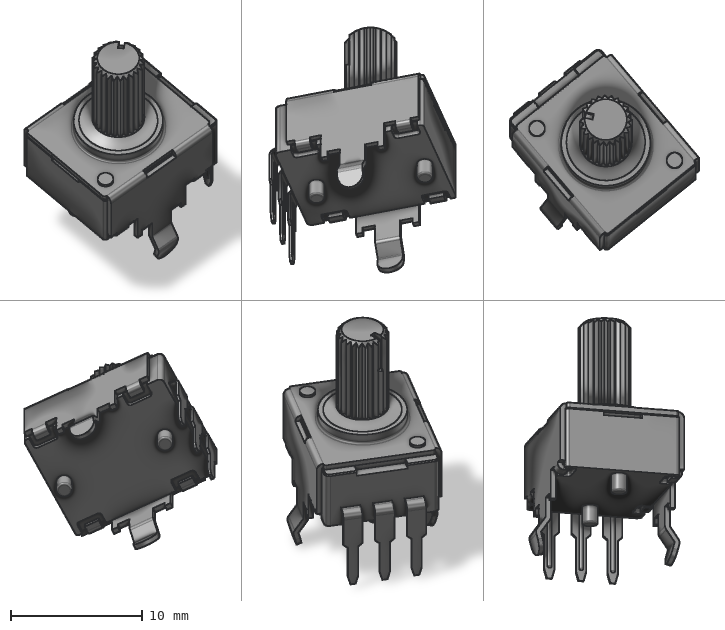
import cadquery as cq
import math


HOUSING_HALF_WIDTH = 4.5
HOUSING_FRONT_Y = -5.5
HOUSING_BACK_Y = 6.3
HOUSING_HEIGHT = 4.7
FRONT_CORNER_RADIUS = 0.25
BACK_CORNER_RADIUS = 0.4
HOUSING_TOP_CHAMFER = 0.1
FRONT_NOTCH_WIDTH = 3.0
BACK_NOTCH_WIDTH = 4.0
NOTCH_HEIGHT = 0.4
FRONT_NOTCH_DEPTH = 0.5
POST_DIAMETER = 1.2
POST_OFFSET_Y = 4.3
RIVET_OFFSET_X = 3.25
RIVET_TOP_CLEARANCE = 0.2
PEG_LENGTH = 1.4
PEG_TIP_RADIUS = 0.15

SHEET = 0.4
BEND_INNER_RADIUS = 0.1
PLATE_HALF_WIDTH = HOUSING_HALF_WIDTH - BEND_INNER_RADIUS
PLATE_HALF_DEPTH = 5.5
PLATE_CORNER_RADIUS = 0.2
COVER_TOP_Z = HOUSING_HEIGHT + SHEET
WALL_HALF_DEPTH = 5.25
WALL_MID_X = HOUSING_HALF_WIDTH + SHEET / 2
WALL_BOTTOM_Z = 0.55
WINDOW_WIDTH = 3.0
WINDOW_INNER_X = PLATE_HALF_WIDTH + BEND_INNER_RADIUS / 2
LEG_HALF_SPAN = 2.5
LEG_WIDTH = 0.5
LEG_TOP_Z = -1.2
LEG_BOTTOM_Z = -1.7
ROOT_OVERLAP = 0.4

HOOK_WIDTH = 2.0
HOOK_BEND_Z = -2.7
HOOK_FLARE_ANGLE = 35.0
HOOK_TIP_ANGLE = 15.0
HOOK_REACH_X = 5.66
HOOK_BOTTOM_Z = -5.5

CRIMP_Y = 4.0
CRIMP_WIDTH = 1.2
CRIMP_INNER_RADIUS = 0.05
CRIMP_FLAT_LENGTH = 0.4
POCKET_WIDTH = 2.05
POCKET_DEPTH = 1.0
POCKET_CORNER_RADIUS = 0.25
POCKET_HEIGHT = SHEET + CRIMP_INNER_RADIUS

BUSHING_DIAMETER = 6.8
BUSHING_BORE = 6.0
BUSHING_TOP_Z = 5.9
BUSHING_ROOT_RADIUS = 0.2
SHAFT_RADIUS = 2.0
SHAFT_TOP_Z = 13.3
SHAFT_CHAMFER = 0.4
CONE_TOP_Z = 6.3
SPLINE_COUNT = 24
MARK_WIDTH = 0.45
MARK_DEPTH = 0.4
MARK_INNER_RADIUS = 1.0
MARK_ANGLE = 127.5
FLAT_RADIUS = 1.62
FLAT_LENGTH = 3.0

TERMINAL_COUNT = 3
TERMINAL_PITCH = 2.5
TERMINAL_SHEET = 0.2
TERMINAL_OUTER_Y = 7.1
TERMINAL_TOP_Z = 1.55
TERMINAL_BEND_INNER_RADIUS = 0.4
TERMINAL_INSERTION = 1.0
SHOULDER_WIDTH = 1.5
SHOULDER_END_Z = -1.4
PIN_WIDTH = 0.8
PIN_START_Z = -1.7
PIN_TAPER_Z = -4.4
PIN_TIP_WIDTH = 0.4
PIN_TIP_Z = -5.1
RIB_RADIUS = 0.25
RIB_HEIGHT = 0.07
RIB_TOP_Z = 0.7
RIB_BOTTOM_Z = -4.1


def block(x_range, y_range, z_range):
    """Box between the given limits."""
    size = [high - low for low, high in (x_range, y_range, z_range)]
    return (
        cq.Workplane()
        .box(*size, centered=False)
        .translate((x_range[0], y_range[0], z_range[0]))
    )


def cylinder(x, y, diameter, z_range):
    """Upright cylinder between two heights."""
    return (
        cq.Workplane()
        .workplane(offset=z_range[0])
        .center(x, y)
        .circle(diameter / 2)
        .extrude(z_range[1] - z_range[0])
    )


def bent_strip(plane, start, heading, moves, thickness, width):
    """Bent sheet strip, centred on the plane.

    The mid-line begins at start and runs at heading degrees. Each move is a length of
    straight sheet or a pair (turn angle, inner bend radius); a positive turn is anticlockwise.
    Returns the strip and the point where its mid-line ends.
    """
    half = thickness / 2

    def beside(point, angle, distance):
        """Point to the left of the mid-line, or to the right for a negative distance."""
        return (
            point[0] - distance * math.sin(math.radians(angle)),
            point[1] + distance * math.cos(math.radians(angle)),
        )

    stations = [(start, heading)]
    halfway = []
    for move in moves:
        point, angle = stations[-1]
        if isinstance(move, tuple):
            turn, inner_radius = move
            radius = math.copysign(inner_radius + half, turn)
            centre = beside(point, angle, radius)
            halfway.append((beside(centre, angle + turn / 2, -radius), angle + turn / 2))
            stations.append((beside(centre, angle + turn, -radius), angle + turn))
        else:
            halfway.append(None)
            stations.append((beside(point, angle - 90, move), angle))

    def draw_side(outline, ends, middles, distance):
        for end, middle in zip(ends, middles):
            if middle is None:
                outline = outline.lineTo(*beside(*end, distance))
            else:
                outline = outline.threePointArc(beside(*middle, distance), beside(*end, distance))
        return outline

    outline = cq.Workplane(plane).moveTo(*beside(*stations[0], half))
    outline = draw_side(outline, stations[1:], halfway, half)
    outline = outline.lineTo(*beside(*stations[-1], -half))
    outline = draw_side(outline, stations[-2::-1], halfway[::-1], -half)
    strip = outline.close().extrude(width / 2, both=True)
    return strip, stations[-1][0]


def terminal(x):
    """Bent sheet terminal with a stepped pin and a stiffening rib."""
    top_mid_z = TERMINAL_TOP_Z - TERMINAL_SHEET / 2
    bend_outer_radius = TERMINAL_BEND_INNER_RADIUS + TERMINAL_SHEET
    bend_start_y = TERMINAL_OUTER_Y - bend_outer_radius
    inner_end_y = HOUSING_BACK_Y - TERMINAL_INSERTION
    moves = [
        bend_start_y - inner_end_y,
        (-90, TERMINAL_BEND_INNER_RADIUS),
        TERMINAL_TOP_Z - bend_outer_radius - PIN_TIP_Z,
    ]
    strip, _ = bent_strip("YZ", (inner_end_y, top_mid_z), 0, moves, TERMINAL_SHEET, SHOULDER_WIDTH)
    half_outline = [
        (SHOULDER_WIDTH / 2, TERMINAL_TOP_Z),
        (SHOULDER_WIDTH / 2, SHOULDER_END_Z),
        (PIN_WIDTH / 2, PIN_START_Z),
        (PIN_WIDTH / 2, PIN_TAPER_Z),
        (PIN_TIP_WIDTH / 2, PIN_TIP_Z),
    ]
    outline = half_outline + [(-px, pz) for px, pz in reversed(half_outline)]
    silhouette = cq.Workplane("XZ").polyline(outline).close().extrude(-TERMINAL_OUTER_Y)
    inner_face_y = TERMINAL_OUTER_Y - TERMINAL_SHEET
    rib_y = inner_face_y - RIB_HEIGHT + RIB_RADIUS
    rib = cylinder(0, rib_y, 2 * RIB_RADIUS, (RIB_BOTTOM_Z, RIB_TOP_Z))
    rib = rib.union(cq.Workplane().sphere(RIB_RADIUS).translate((0, rib_y, RIB_BOTTOM_Z)))
    rib = rib.intersect(
        block(
            (-RIB_RADIUS, RIB_RADIUS),
            (inner_face_y - RIB_HEIGHT, inner_face_y + TERMINAL_SHEET / 2),
            (PIN_TIP_Z, RIB_TOP_Z),
        )
    )
    return strip.intersect(silhouette).union(rib).translate((x, 0, 0))


terminal_positions = [(i - (TERMINAL_COUNT - 1) / 2) * TERMINAL_PITCH for i in range(TERMINAL_COUNT)]
terminals = [terminal(x) for x in terminal_positions]


def housing_notches():
    """Shallow notches in the middle of the front and back top edges."""
    z_range = (HOUSING_HEIGHT - NOTCH_HEIGHT, HOUSING_HEIGHT)
    front = block(
        (-FRONT_NOTCH_WIDTH / 2, FRONT_NOTCH_WIDTH / 2),
        (HOUSING_FRONT_Y, HOUSING_FRONT_Y + FRONT_NOTCH_DEPTH),
        z_range,
    )
    back = block(
        (-BACK_NOTCH_WIDTH / 2, BACK_NOTCH_WIDTH / 2),
        (PLATE_HALF_DEPTH, HOUSING_BACK_Y),
        z_range,
    )
    return front.union(back)


def crimp_pocket(side, y):
    """Round-cornered pocket in the lower edge of one side."""
    inner_x = HOUSING_HALF_WIDTH - POCKET_DEPTH
    return (
        block(
            (inner_x, HOUSING_HALF_WIDTH),
            (y - POCKET_WIDTH / 2, y + POCKET_WIDTH / 2),
            (0, POCKET_HEIGHT),
        )
        .edges("|Z and <X")
        .fillet(POCKET_CORNER_RADIUS)
        .rotate((0, 0, 0), (0, 0, 1), 0 if side > 0 else 180)
    )


def rivet_posts(top_z):
    """Two posts at opposite corners, standing on the housing and passing through the cover."""
    z_range = (HOUSING_HEIGHT, top_z)
    posts = cylinder(-RIVET_OFFSET_X, POST_OFFSET_Y, POST_DIAMETER, z_range)
    return posts.union(cylinder(RIVET_OFFSET_X, -POST_OFFSET_Y, POST_DIAMETER, z_range))


def build_housing():
    body = block(
        (-HOUSING_HALF_WIDTH, HOUSING_HALF_WIDTH),
        (HOUSING_FRONT_Y, HOUSING_BACK_Y),
        (0, HOUSING_HEIGHT),
    )
    body = body.edges("|Z and <Y").fillet(FRONT_CORNER_RADIUS)
    body = body.edges("|Z and >Y").fillet(BACK_CORNER_RADIUS)
    body = body.faces(">Z").chamfer(HOUSING_TOP_CHAMFER)
    body = body.cut(housing_notches())
    for side in (-1, 1):
        for y in (-CRIMP_Y, CRIMP_Y):
            body = body.cut(crimp_pocket(side, y))
    for y in (-POST_OFFSET_Y, POST_OFFSET_Y):
        peg = cylinder(0, y, POST_DIAMETER, (-PEG_LENGTH, 0)).faces("<Z").edges().fillet(PEG_TIP_RADIUS)
        body = body.union(peg)
    body = body.union(rivet_posts(COVER_TOP_Z + RIVET_TOP_CLEARANCE))
    for pin in terminals:
        body = body.cut(pin)
    return body


def side_wall():
    """Wall on the +X side: folded from the plate and cut to its stepped outline."""
    bend = (-90, BEND_INNER_RADIUS)
    bend_end_z = HOUSING_HEIGHT - BEND_INNER_RADIUS
    start = (PLATE_HALF_WIDTH, HOUSING_HEIGHT + SHEET / 2)
    moves = [bend, bend_end_z - LEG_BOTTOM_Z]
    wall, _ = bent_strip("XZ", start, 0, moves, SHEET, 2 * WALL_HALF_DEPTH)
    half_outline = [
        (WALL_HALF_DEPTH, COVER_TOP_Z),
        (WALL_HALF_DEPTH, WALL_BOTTOM_Z),
        (LEG_HALF_SPAN, WALL_BOTTOM_Z),
        (LEG_HALF_SPAN, LEG_BOTTOM_Z),
        (LEG_HALF_SPAN - LEG_WIDTH, LEG_BOTTOM_Z),
        (LEG_HALF_SPAN - LEG_WIDTH, LEG_TOP_Z),
    ]
    outline = half_outline + [(-y, z) for y, z in reversed(half_outline)]
    return wall.intersect(cq.Workplane("YZ").polyline(outline).close().extrude(HOOK_REACH_X))


def snap_hook():
    """Hook below the +X wall: flared outwards, then turned back in to a round tip."""
    flare = math.radians(HOOK_FLARE_ANGLE)
    tip = math.radians(HOOK_TIP_ANGLE)
    outer_radius = BEND_INNER_RADIUS + SHEET
    flare_centre_x = HOUSING_HALF_WIDTH + outer_radius
    elbow_centre_x = HOOK_REACH_X - outer_radius
    radii = BEND_INNER_RADIUS + outer_radius
    flare_length = (elbow_centre_x - flare_centre_x + radii * math.cos(flare)) / math.sin(flare)
    elbow_centre_z = HOOK_BEND_Z - radii * math.sin(flare) - flare_length * math.cos(flare)
    elbow_end_z = elbow_centre_z - outer_radius * math.sin(tip)
    tip_length = (elbow_end_z - HOOK_BOTTOM_Z) / math.cos(tip)
    tip_radius = HOOK_WIDTH / 2

    root_z = LEG_TOP_Z + ROOT_OVERLAP
    moves = [
        root_z - HOOK_BEND_Z,
        (HOOK_FLARE_ANGLE, BEND_INNER_RADIUS),
        flare_length,
        (-HOOK_FLARE_ANGLE - HOOK_TIP_ANGLE, BEND_INNER_RADIUS),
        tip_length - tip_radius,
    ]
    hook, end = bent_strip("XZ", (WALL_MID_X, root_z), -90, moves, SHEET, HOOK_WIDTH)
    tip_plane = cq.Plane((end[0], 0, end[1]), (0, 1, 0), (math.cos(tip), 0, -math.sin(tip)))
    round_end = (
        cq.Workplane(tip_plane)
        .moveTo(-tip_radius, 0)
        .threePointArc((0, -tip_radius), (tip_radius, 0))
        .close()
        .extrude(SHEET / 2, both=True)
    )
    return hook.union(round_end)


def crimp_tab(y):
    """Tab folded inwards under the +X side of the housing."""
    root_z = WALL_BOTTOM_Z + ROOT_OVERLAP
    moves = [
        root_z - POCKET_HEIGHT,
        (-90, CRIMP_INNER_RADIUS),
        CRIMP_FLAT_LENGTH,
    ]
    tab, _ = bent_strip("XZ", (WALL_MID_X, root_z), -90, moves, SHEET, CRIMP_WIDTH)
    return tab.translate((0, y, 0))


def cover_side():
    """Everything folded down on the +X side."""
    side = side_wall().union(snap_hook())
    for y in (-CRIMP_Y, CRIMP_Y):
        side = side.union(crimp_tab(y))
    return side


def bushing():
    """Ring around the shaft with a concave root where it rises from the plate."""
    radius = BUSHING_DIAMETER / 2
    root_end = radius + BUSHING_ROOT_RADIUS
    root_top_z = COVER_TOP_Z + BUSHING_ROOT_RADIUS
    diagonal = BUSHING_ROOT_RADIUS * math.sqrt(0.5)
    return (
        cq.Workplane("XZ")
        .moveTo(0, HOUSING_HEIGHT)
        .lineTo(root_end, HOUSING_HEIGHT)
        .lineTo(root_end, COVER_TOP_Z)
        .threePointArc((root_end - diagonal, root_top_z - diagonal), (radius, root_top_z))
        .lineTo(radius, BUSHING_TOP_Z)
        .lineTo(0, BUSHING_TOP_Z)
        .close()
        .revolve(360, (0, 0), (0, 1))
    )


def build_cover():
    plate = block(
        (-PLATE_HALF_WIDTH, PLATE_HALF_WIDTH),
        (-PLATE_HALF_DEPTH, PLATE_HALF_DEPTH),
        (HOUSING_HEIGHT, COVER_TOP_Z),
    )
    body = plate.edges("|Z").fillet(PLATE_CORNER_RADIUS).union(bushing())
    side = cover_side()
    body = body.union(side).union(side.mirror("YZ"))
    window = block(
        (WINDOW_INNER_X, HOOK_REACH_X),
        (-WINDOW_WIDTH / 2, WINDOW_WIDTH / 2),
        (HOUSING_HEIGHT - BEND_INNER_RADIUS, COVER_TOP_Z),
    )
    body = body.cut(window).cut(window.mirror("YZ"))
    body = body.cut(cylinder(0, 0, BUSHING_BORE, (HOUSING_HEIGHT, BUSHING_TOP_Z)))
    return body.cut(rivet_posts(COVER_TOP_Z))


def spline_outline():
    """Star of sharp ridges parted by right-angled V grooves."""
    half_pitch = math.pi / SPLINE_COUNT
    groove_radius = SHAFT_RADIUS * (math.cos(half_pitch) - math.sin(half_pitch))
    points = []
    for i in range(2 * SPLINE_COUNT):
        radius = SHAFT_RADIUS if i % 2 else groove_radius
        points.append((radius * math.cos(i * half_pitch), radius * math.sin(i * half_pitch)))
    return points


def index_mark():
    """Shallow groove in the end face, continued down the side as a flat in place of one ridge."""
    width_range = (-MARK_WIDTH / 2, MARK_WIDTH / 2)
    groove = block(
        (MARK_INNER_RADIUS, SHAFT_RADIUS),
        width_range,
        (SHAFT_TOP_Z - MARK_DEPTH, SHAFT_TOP_Z),
    )
    flat = block(
        (FLAT_RADIUS, SHAFT_RADIUS),
        width_range,
        (SHAFT_TOP_Z - FLAT_LENGTH, SHAFT_TOP_Z),
    )
    return groove.union(flat).rotate((0, 0, 0), (0, 0, 1), MARK_ANGLE)


def build_shaft():
    envelope = (
        cq.Workplane()
        .workplane(offset=CONE_TOP_Z)
        .circle(SHAFT_RADIUS)
        .extrude(SHAFT_TOP_Z - CONE_TOP_Z)
        .faces(">Z")
        .chamfer(SHAFT_CHAMFER)
    )
    splines = (
        cq.Workplane()
        .workplane(offset=CONE_TOP_Z)
        .polyline(spline_outline())
        .close()
        .extrude(SHAFT_TOP_Z - CONE_TOP_Z)
    )
    base = (
        cq.Workplane("XZ")
        .polyline(
            [
                (0, HOUSING_HEIGHT),
                (BUSHING_BORE / 2, HOUSING_HEIGHT),
                (BUSHING_BORE / 2, BUSHING_TOP_Z),
                (SHAFT_RADIUS, CONE_TOP_Z),
                (0, CONE_TOP_Z),
            ]
        )
        .close()
        .revolve(360, (0, 0), (0, 1))
    )
    return base.union(splines.intersect(envelope)).cut(index_mark())


housing = build_housing()
cover = build_cover()
shaft = build_shaft()

bodies = [housing, cover, shaft, *terminals]
result = cq.Compound.makeCompound([body.solids().val() for body in bodies])